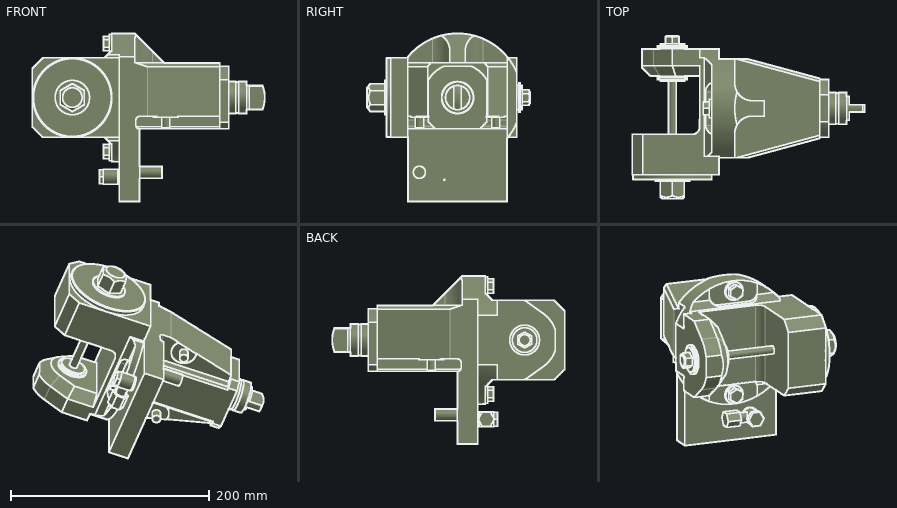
import cadquery as cq
import math


fork_half_height = 40.2
axle_x = 40.7
near_arm_outer_y = -67.2
near_arm_inner_y = -26.0
near_arm_chamfer = 10.8
far_arm_outer_y = 60.0
far_arm_inner_y = 32.5
far_arm_bevel = 10.5
far_arm_tip_x = 9.9
far_arm_radius = 32.7
web_x = 68.2
web_fillet = 7.5

plate_front_x = 88.0
plate_back_x = 108.6
plate_half_width = 50.0
plate_bottom_z = -105.0
flange_radius = 65.0
flange_face_x = 80.5
flange_back_x = 103.7
bevel_start_x = 73.1
flange_near_y = -48.2
pocket_half_width = 26.3
pocket_floor_z = 41.4
pocket_corner_radius = 9.5
pocket_depth = 0.2

taper_start_x = 116.4
housing_end_x = 189.5
housing_end_half_width = 30.3
housing_top_z = 35.0
housing_ledge_z = -19.0
housing_bottom_z = -31.7
edge_bevel_width = 3.17
edge_bevel_height = 4.0
base_half_width = 22.3
base_chamfer = 2.4
undercut_start_x = 104.9
undercut_radius = 3.8
post_radius = 4.2
post_x = 135.0
post_y = 38.5
post_bottom_z = -30.5
pad_radius = 12.7
pad_height = 0.7

gusset_half_width = 7.8
gusset_flare_radius = 17.6

end_plate_x = 198.7
end_plate_radius = 34.5
end_plate_half_width = 29.5
end_plate_chamfer = 7.0
collar_radius = 16.2
collar_groove_radius = 15.8
collar_groove_start_x = 205.7
collar_groove_end_x = 208.5
collar_end_x = 216.5
tang_radius = 12.2
tang_start_x = 219.4
tang_shoulder_x = 232.8
tang_end_x = 235.0
tang_thickness = 7.5

axle_radius = 4.11
roller_radius = 40.0
roller_outer_y = -72.2
roller_chamfer = 0.7
big_washer_radius = 17.5
big_washer_outer_y = -73.5
big_head_flats = 24.5
big_head_end_y = -91.5
seal_radius = 12.5
seal_rim_radius = 15.0
seal_thickness = 5.2
seal_rim_offset = 1.6
seal_rim_thickness = 1.9
axle_nut_flats = 13.9
axle_nut_end_y = 73.1

bolt_z = 54.5
bolt_head_x = 72.0
bolt_washer_x = 77.8
bolt_washer_radius = 9.5
bolt_flats = 13.0

fitting_y = -20.0
fitting_z = -80.0
fitting_flats = 14.3
fitting_radius = 7.8
fitting_neck_radius = 7.0
fitting_tip_x = 68.0
fitting_body_x = 72.0
fitting_neck_x = 86.5
swivel_x = 79.5
swivel_radius = 5.2
swivel_nut_start_y = -5.0
swivel_nut_end_y = 9.6
pipe_y = -38.5
pipe_z = -75.5
pipe_radius = 6.0
pipe_end_x = 131.5


def block(x0, x1, y0, y1, z0, z1):
    return cq.Workplane("XY").box(x1 - x0, y1 - y0, z1 - z0, centered=False).translate((x0, y0, z0))


def rod_x(radius, x0, x1, y=0, z=0):
    return cq.Workplane("YZ", origin=(x0, y, z)).circle(radius).extrude(x1 - x0)


def rod_y(radius, y0, y1, x=axle_x, z=0):
    """Cylinder along Y; y1 may lie on either side of y0."""
    return cq.Workplane("XZ", origin=(x, y0, z)).circle(radius).extrude(y0 - y1)


def hex_prism(plane, origin, flats, length, corner_angle, end_chamfer=0):
    """Hexagon prism whose far end is turned down to a chamfered circle."""
    corner_radius = flats / math.sqrt(3)
    prism = (
        cq.Workplane(plane, origin=origin)
        .transformed(rotate=(0, 0, corner_angle))
        .polygon(6, 2 * corner_radius)
        .extrude(length)
    )
    if end_chamfer == 0:
        return prism
    radial_chamfer = 0.3 * corner_radius
    envelope = cq.Workplane(plane, origin=origin).circle(corner_radius).extrude(length)
    far_end = cq.Vector(*origin) + cq.Plane.named(plane).zDir * length
    far_rim = envelope.faces(cq.NearestToPointSelector(far_end.toTuple()))
    return prism.intersect(far_rim.chamfer(end_chamfer, radial_chamfer))


def make_near_arm():
    return (
        block(0, plate_front_x, near_arm_outer_y, near_arm_inner_y, -fork_half_height, fork_half_height)
        .edges("|Y and <X")
        .chamfer(near_arm_chamfer)
    )


def make_far_arm():
    """Rounded arm with straight flanks tangent to its nose and a beveled inner face."""
    tangent_angle = math.acos(far_arm_radius / fork_half_height)
    tangent_x = axle_x - far_arm_radius * math.sin(tangent_angle)
    tangent_z = far_arm_radius * math.cos(tangent_angle)
    bevel_y = far_arm_inner_y + far_arm_bevel
    root_x = web_x + far_arm_bevel

    def outline(y):
        return (
            cq.Workplane("XZ", origin=(0, y, 0))
            .moveTo(root_x, fork_half_height)
            .lineTo(axle_x, fork_half_height)
            .lineTo(tangent_x, tangent_z)
            .threePointArc((axle_x - far_arm_radius, 0), (tangent_x, -tangent_z))
            .lineTo(axle_x, -fork_half_height)
            .lineTo(root_x, -fork_half_height)
            .close()
        )

    straight = outline(far_arm_outer_y).extrude(far_arm_outer_y - bevel_y)
    beveled = outline(bevel_y).extrude(far_arm_bevel, taper=45)
    limits = block(
        far_arm_tip_x, web_x, far_arm_inner_y, far_arm_outer_y, -fork_half_height, fork_half_height
    )
    return straight.union(beveled).intersect(limits)


def make_web_fillet():
    corner = block(
        web_x - web_fillet, web_x, near_arm_inner_y, near_arm_inner_y + web_fillet,
        -fork_half_height, fork_half_height,
    )
    hollow = (
        cq.Workplane("XY", origin=(web_x - web_fillet, near_arm_inner_y + web_fillet, -fork_half_height))
        .circle(web_fillet)
        .extrude(2 * fork_half_height)
    )
    return corner.cut(hollow)


def make_flange():
    """Web and round flange: one drum, beveled down to the fork height at its front."""
    bevel_z = fork_half_height + flange_face_x - bevel_start_x
    upper = [
        (web_x, fork_half_height),
        (bevel_start_x, fork_half_height),
        (flange_face_x, bevel_z),
        (flange_face_x, flange_radius),
        (flange_back_x, flange_radius),
    ]
    lower = [(x, -z) for x, z in reversed(upper)]
    side = cq.Workplane("XZ").polyline(upper + lower).close().extrude(flange_radius, both=True)
    front_limits = block(web_x, plate_front_x, flange_near_y, far_arm_outer_y, -flange_radius, flange_radius)
    back_limits = block(
        plate_front_x, flange_back_x, -plate_half_width, plate_half_width, -flange_radius, flange_radius
    )
    drum = rod_x(flange_radius, web_x, flange_back_x)
    flange = drum.intersect(side).intersect(front_limits.union(back_limits))
    for sign in (1, -1):
        pocket = (
            block(
                web_x, flange_face_x + pocket_depth, -pocket_half_width, pocket_half_width,
                pocket_floor_z, flange_radius,
            )
            .edges("|X and <Z")
            .fillet(pocket_corner_radius)
        )
        if sign < 0:
            pocket = pocket.mirror("XY")
        flange = flange.cut(pocket)
    return flange


def taper_prism(bottom_z, top_z):
    """Housing footprint, straight beside the plate and tapering to the end plate."""
    half_profile = [
        (plate_front_x, plate_half_width),
        (taper_start_x, plate_half_width),
        (housing_end_x, housing_end_half_width),
    ]
    other_half = [(x, -y) for x, y in reversed(half_profile)]
    outline = cq.Workplane("XY", origin=(0, 0, bottom_z)).polyline(half_profile + other_half).close()
    return outline.extrude(top_z - bottom_z)


def make_edge_bevel_cutter():
    """Prism that bevels the +Y top edge of the tapered wall, run out past both ends."""
    taper_slope = (plate_half_width - housing_end_half_width) / (housing_end_x - taper_start_x)
    wall_angle = math.atan(taper_slope)
    width = edge_bevel_width * math.cos(wall_angle)
    wall = cq.Plane(
        origin=(taper_start_x, plate_half_width, housing_top_z),
        xDir=(math.sin(wall_angle), math.cos(wall_angle), 0),
        normal=(math.cos(wall_angle), -math.sin(wall_angle), 0),
    )
    reach = housing_end_x - plate_front_x
    return (
        cq.Workplane(wall)
        .polyline([(-2 * width, edge_bevel_height), (width, edge_bevel_height), (width, -2 * edge_bevel_height)])
        .close()
        .extrude(reach, both=True)
    )


def make_housing():
    cutter = make_edge_bevel_cutter()
    upper = taper_prism(housing_ledge_z, housing_top_z).cut(cutter).cut(cutter.mirror("XZ"))
    base = (
        block(
            plate_front_x, housing_end_x, -base_half_width, base_half_width, housing_bottom_z, housing_ledge_z
        )
        .edges("|X and <Z")
        .chamfer(base_chamfer)
    )
    housing = upper.union(base)
    pad_bottom_z = housing_ledge_z - pad_height
    pad_limits = taper_prism(pad_bottom_z, housing_ledge_z)
    for y in (post_y, -post_y):
        pad = cq.Workplane("XY", origin=(post_x, y, pad_bottom_z)).circle(pad_radius).extrude(pad_height)
        post_length = pad_bottom_z - post_bottom_z
        post = cq.Workplane("XY", origin=(post_x, y, post_bottom_z)).circle(post_radius).extrude(post_length)
        housing = housing.union(pad.intersect(pad_limits)).union(post)
    return housing


def make_plate():
    """Mounting plate, its back undercut where the housing base meets it."""
    plate = block(
        plate_front_x, plate_back_x, -plate_half_width, plate_half_width, plate_bottom_z, housing_ledge_z
    )
    undercut = (
        block(
            undercut_start_x, plate_back_x + undercut_radius, -plate_half_width, plate_half_width,
            housing_bottom_z, housing_ledge_z,
        )
        .edges("|Y and <X")
        .fillet(undercut_radius - 0.2)
    )
    return plate.cut(undercut)


def make_gusset():
    """Sloped rib on the housing, flared where it meets the back of the flange."""
    flare_x = flange_back_x + gusset_flare_radius
    flare_y = gusset_half_width + gusset_flare_radius
    flare_mid_x = flare_x - gusset_flare_radius * math.sqrt(0.5)
    flare_mid_y = flare_y - gusset_flare_radius * math.sqrt(0.5)
    height = flange_radius - housing_top_z
    tip_x = flange_back_x + height
    footprint = (
        cq.Workplane("XY", origin=(0, 0, housing_top_z))
        .moveTo(flange_back_x, flare_y)
        .threePointArc((flare_mid_x, flare_mid_y), (flare_x, gusset_half_width))
        .lineTo(tip_x, gusset_half_width)
        .lineTo(tip_x, -gusset_half_width)
        .lineTo(flare_x, -gusset_half_width)
        .threePointArc((flare_mid_x, -flare_mid_y), (flange_back_x, -flare_y))
        .close()
        .extrude(height)
    )
    slope = (
        cq.Workplane("XZ")
        .polyline([(flange_back_x, housing_top_z), (tip_x, housing_top_z), (flange_back_x, flange_radius)])
        .close()
        .extrude(flare_y, both=True)
    )
    return footprint.intersect(slope).intersect(rod_x(flange_radius, flange_back_x, tip_x))


def make_shaft_end():
    top_z = -housing_bottom_z
    end_plate = block(
        housing_end_x, end_plate_x, -end_plate_half_width, end_plate_half_width, housing_bottom_z, top_z
    )
    lower_half = block(
        housing_end_x, end_plate_x, -end_plate_half_width, end_plate_half_width, housing_bottom_z, 0
    )
    round_top = rod_x(end_plate_radius, housing_end_x, end_plate_x).union(lower_half)
    end_plate = end_plate.edges("|X and <Z").chamfer(end_plate_chamfer).intersect(round_top)
    collar = (
        rod_x(collar_radius, end_plate_x, collar_groove_start_x)
        .union(rod_x(collar_groove_radius, collar_groove_start_x, collar_groove_end_x))
        .union(rod_x(collar_radius, collar_groove_end_x, collar_end_x))
    )
    dome_rise = tang_end_x - tang_shoulder_x
    dome_radius = (tang_radius**2 + dome_rise**2) / (2 * dome_rise)
    half_angle = math.asin(tang_radius / dome_radius) / 2
    dome_mid_x = tang_end_x - dome_radius * (1 - math.cos(half_angle))
    dome_mid_z = dome_radius * math.sin(half_angle)
    domed_bar = (
        cq.Workplane("XZ")
        .moveTo(collar_end_x, 0)
        .lineTo(collar_end_x, tang_radius)
        .lineTo(tang_shoulder_x, tang_radius)
        .threePointArc((dome_mid_x, dome_mid_z), (tang_end_x, 0))
        .close()
        .revolve(360, (0, 0, 0), (1, 0, 0))
    )
    clearance = block(
        tang_start_x, tang_end_x, tang_thickness / 2, tang_radius, -tang_radius, tang_radius
    )
    tang = domed_bar.cut(clearance).cut(clearance.mirror("XZ"))
    return end_plate.union(collar).union(tang)


def make_seal(start_y, direction):
    """Stepped washer with a thin rim, standing out from an arm face along +Y or -Y."""
    rim_y = start_y + direction * seal_rim_offset
    body = rod_y(seal_radius, start_y, start_y + direction * seal_thickness)
    return body.union(rod_y(seal_rim_radius, rim_y, rim_y + direction * seal_rim_thickness))


def make_axle():
    axle = rod_y(axle_radius, near_arm_outer_y, far_arm_outer_y)
    roller = rod_y(roller_radius, near_arm_outer_y, roller_outer_y).faces("<Y").chamfer(roller_chamfer)
    washer = rod_y(big_washer_radius, roller_outer_y, big_washer_outer_y)
    head = hex_prism(
        "XZ", (axle_x, big_washer_outer_y, 0), big_head_flats, big_washer_outer_y - big_head_end_y, 30, 3.3
    )
    nut_start_y = far_arm_outer_y + seal_thickness
    nut = hex_prism("ZX", (axle_x, nut_start_y, 0), axle_nut_flats, axle_nut_end_y - nut_start_y, 0, 1.2)
    axle = axle.union(roller).union(washer).union(head).union(nut)
    return axle.union(make_seal(far_arm_outer_y, 1)).union(make_seal(far_arm_inner_y, -1))


def make_flange_bolt(z):
    washer = rod_x(bolt_washer_radius, bolt_washer_x, flange_face_x + pocket_depth, z=z)
    head = hex_prism("YZ", (bolt_head_x, 0, z), bolt_flats, bolt_washer_x - bolt_head_x, 30)
    return washer.union(head)


def make_fitting():
    tip = hex_prism(
        "YZ", (fitting_tip_x, fitting_y, fitting_z), fitting_flats, fitting_body_x - fitting_tip_x, 0
    )
    body = rod_x(fitting_radius, fitting_body_x, fitting_neck_x, fitting_y, fitting_z)
    neck = rod_x(fitting_neck_radius, fitting_neck_x, plate_front_x, fitting_y, fitting_z)
    swivel = rod_y(swivel_radius, fitting_y, swivel_nut_start_y, swivel_x, fitting_z)
    nut = hex_prism(
        "XZ", (swivel_x, swivel_nut_end_y, fitting_z), fitting_flats, swivel_nut_end_y - swivel_nut_start_y, 0
    )
    pipe = rod_x(pipe_radius, plate_back_x, pipe_end_x, pipe_y, pipe_z)
    return tip.union(body).union(neck).union(swivel).union(nut).union(pipe)


result = (
    make_flange()
    .union(make_near_arm())
    .union(make_far_arm())
    .union(make_web_fillet())
    .union(make_plate())
    .union(make_housing())
    .union(make_gusset())
    .union(make_shaft_end())
    .union(make_axle())
    .union(make_flange_bolt(bolt_z))
    .union(make_flange_bolt(-bolt_z))
    .union(make_fitting())
)